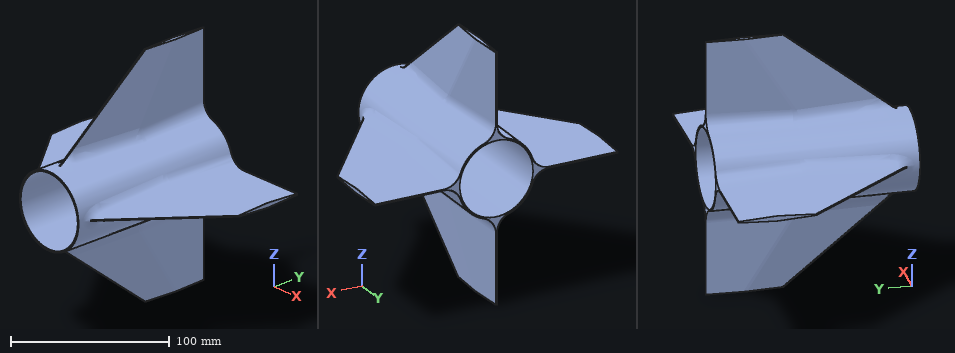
import cadquery as cq
import math

LENGTH = 132.9
TUBE_RADIUS = 27.3
BORE_RADIUS = 26.3

FIN_COUNT = 4
TIP_RADIUS = 87.0
TIP_CHORD = 50.3
ROOT_CHORD = 124.8
ROOT_FILLET = 12.5

EDGE_HALF_THICKNESS = 0.44
FLANK_SLOPE = 0.054
CREST_HALF_WIDTH = 1.2

EMBEDDED_RADIUS = 24.4

ON_TUBE_TOLERANCE = 0.02


def chord_at(radius):
    """Chord, shrinking linearly from the tube surface to the tip."""
    taper = (ROOT_CHORD - TIP_CHORD) / (TIP_RADIUS - TUBE_RADIUS)
    return ROOT_CHORD - taper * (radius - TUBE_RADIUS)


def section_wire(radius):
    """Closed eight-sided fin section at a given distance from the tube axis."""
    half_chord = chord_at(radius) / 2
    middle = LENGTH - half_chord
    crest = EDGE_HALF_THICKNESS + FLANK_SLOPE * (half_chord - CREST_HALF_WIDTH)
    one_side = [
        (-half_chord, EDGE_HALF_THICKNESS),
        (-CREST_HALF_WIDTH, crest),
        (CREST_HALF_WIDTH, crest),
        (half_chord, EDGE_HALF_THICKNESS),
    ]
    other_side = [(along, -across) for along, across in reversed(one_side)]
    points = [cq.Vector(across, middle + along, radius) for along, across in one_side + other_side]
    return cq.Wire.makePolygon(points, close=True)


def make_fin():
    """One fin pointing along +Z."""
    wires = [section_wire(EMBEDDED_RADIUS), section_wire(TIP_RADIUS)]
    return cq.Workplane(obj=cq.Solid.makeLoft(wires, True))


def make_cylinder(radius):
    """Cylinder along Y, turned so that its seam lies between two fins."""
    cylinder = cq.Workplane("XZ").circle(radius).extrude(-LENGTH)
    return cylinder.rotate((0, 0, 0), (0, 1, 0), 180 / FIN_COUNT)


def is_root_edge(edge):
    """True for edges where a fin meets the outside of the tube."""
    on_tube = all(
        abs(math.hypot(point.x, point.z) - TUBE_RADIUS) < ON_TUBE_TOLERANCE
        for point in (edge.positionAt(0), edge.positionAt(0.5), edge.positionAt(1))
    )
    middle = edge.positionAt(0.5)
    between_ends = ON_TUBE_TOLERANCE < middle.y < LENGTH - ON_TUBE_TOLERANCE
    near_fin = min(abs(middle.x), abs(middle.z)) < TUBE_RADIUS / 4
    return on_tube and between_ends and near_fin


body = make_cylinder(TUBE_RADIUS)
fin = make_fin()
for index in range(FIN_COUNT):
    body = body.union(fin.rotate((0, 0, 0), (0, 1, 0), index * 360 / FIN_COUNT))

root_edges = [edge for edge in body.edges().vals() if is_root_edge(edge)]
body = body.newObject(root_edges).fillet(ROOT_FILLET)

result = body.cut(make_cylinder(BORE_RADIUS))